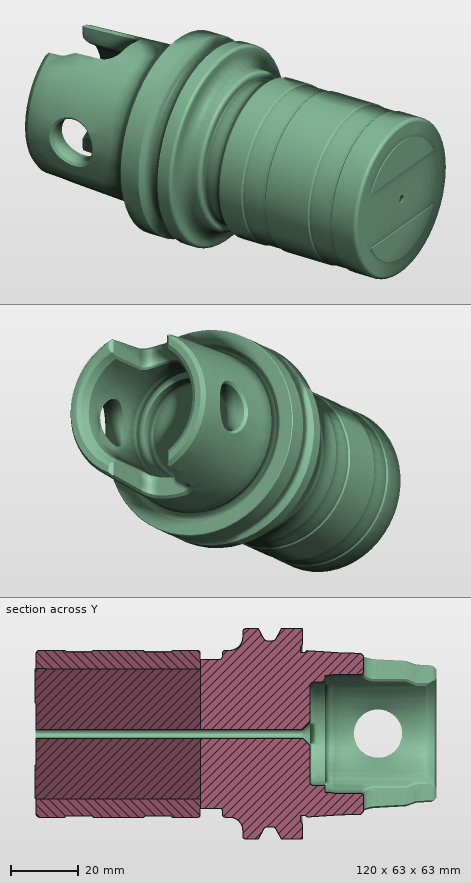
import cadquery as cq
import math


total_length = 119.95
flange_radius = 62.95 / 2
coolant_hole_radius = 1.25

taper_slope = 0.05
tip_face_radius = 22.1
tip_bevel_length = 1.6
taper_tip_radius = 23.05
taper_end = 38.8

relief_radius = 24.4
relief_start = 39.3
relief_bottom = 40.6
relief_inner_radius = 25.75
relief_outer_radius = 27.0

flange_start = 39.95
flange_end = 57.95
flange_edge_chamfer = 0.2
flange_end_fillet = 1.0
groove_center = 49.8
groove_half_width = 3.4
groove_floor_radius = 27.85
groove_side_angle = 62.0
groove_fillet = 1.2

shoulder_radius = 25.0
shoulder_blend = 3.8
shoulder_end = 64.05
shoulder_end_fillet = 1.1
neck_radius = 22.3
neck_fillet = 0.7

mouth_face_radius = 20.2
mouth_step_radius = 19.0
mouth_step_depth = 0.6
bore_radius = 17.7
mouth_depth = 3.1
seat_start = 30.5
seat_radius = 17.4
seat_slope_length = 1.4
bore_floor = 33.3
recess_radius = 15.4
recess_depth = 4.5
recess_fillet = 1.1
countersink_radius = 3.5

slot_half_width = 8.1
slot_end = 21.85
slot_corner_radius = 3.9
slot_relief_half_width = 10.1
slot_relief_length = 6.0
slot_relief_end = 8.9
slot_relief_fillet = 2.0
slot_mouth_chamfer = 1.1
slot_edge_chamfer = 0.8
slot_inner_chamfer = 0.5

cross_hole_x = 17.45
cross_hole_radius = 7.2
cross_hole_chamfer = 0.8

edge_tolerance = 0.05

sleeve_start = 70.55
sleeve_end = 119.6
sleeve_radius = 25.0
sleeve_start_fillet = 0.8
sleeve_end_fillet = 1.1
band_depth = 0.4
band_slope_length = 0.4
bands = [(78.85, 87.5), (102.5, 111.0)]

core_radius = 19.35
core_slot_width = 18.4


def taper_radius_at(x):
    """Radius of the taper at a station."""
    return taper_tip_radius + taper_slope * (x - tip_bevel_length)


def turn(profile):
    """Revolve a closed X-radius profile about the X axis."""
    return profile.close().revolve(360, (0, 0, 0), (1, 0, 0))


def rod(start, end, radius):
    """Solid cylinder along X."""
    return cq.Workplane("YZ").workplane(offset=start).circle(radius).extrude(end - start)


def fillet_arc(profile, center, radius, start_angle, end_angle):
    """Add an arc about a center, given by its two angles in degrees; the path joins its start."""
    def point(angle):
        turned = math.radians(angle)
        return (center[0] + radius * math.cos(turned), center[1] + radius * math.sin(turned))

    middle = (start_angle + end_angle) / 2
    return profile.lineTo(*point(start_angle)).threePointArc(point(middle), point(end_angle))


def shank_and_flange_blank():
    """Outer shape of the holder, solid to the axis."""
    groove_depth = flange_radius - groove_floor_radius
    side_run = groove_depth / math.tan(math.radians(groove_side_angle))
    fillet_center_offset = (
        groove_half_width - side_run - groove_fillet * math.tan(math.radians(groove_side_angle / 2))
    )
    groove_fillet_height = groove_floor_radius + groove_fillet

    p = (
        cq.Workplane("XY")
        .moveTo(0, 0)
        .lineTo(0, tip_face_radius)
        .lineTo(tip_bevel_length, taper_tip_radius)
        .lineTo(taper_end, taper_radius_at(taper_end))
        .lineTo(relief_start, relief_radius)
        .lineTo(relief_bottom, relief_radius)
        .lineTo(relief_bottom, relief_inner_radius)
        .lineTo(flange_start, relief_outer_radius)
        .lineTo(flange_start, flange_radius - flange_edge_chamfer)
        .lineTo(flange_start + flange_edge_chamfer, flange_radius)
        .lineTo(groove_center - groove_half_width, flange_radius)
    )
    p = fillet_arc(p, (groove_center - fillet_center_offset, groove_fillet_height), groove_fillet,
                   270 - groove_side_angle, 270)
    p = fillet_arc(p, (groove_center + fillet_center_offset, groove_fillet_height), groove_fillet,
                   270, 270 + groove_side_angle)
    p = p.lineTo(groove_center + groove_half_width, flange_radius)
    p = fillet_arc(p, (flange_end - flange_end_fillet, flange_radius - flange_end_fillet),
                   flange_end_fillet, 90, 0)
    p = fillet_arc(p, (flange_end + shoulder_blend, shoulder_radius + shoulder_blend),
                   shoulder_blend, 180, 270)
    p = fillet_arc(p, (shoulder_end - shoulder_end_fillet, shoulder_radius - shoulder_end_fillet),
                   shoulder_end_fillet, 90, 0)
    p = fillet_arc(p, (shoulder_end + neck_fillet, neck_radius + neck_fillet), neck_fillet, 180, 270)
    p = p.lineTo(sleeve_start, neck_radius).lineTo(sleeve_start, 0)
    return turn(p)


def shank_bore():
    """Bore with a narrower seat, a recessed floor and the countersunk coolant hole."""
    recess_bottom = bore_floor + recess_depth
    countersink_end = recess_bottom + countersink_radius - coolant_hole_radius
    p = (
        cq.Workplane("XY")
        .moveTo(0, 0)
        .lineTo(0, mouth_face_radius)
        .lineTo(mouth_step_depth, mouth_step_radius)
        .lineTo(mouth_depth, bore_radius)
        .lineTo(seat_start, bore_radius)
        .lineTo(seat_start + seat_slope_length, seat_radius)
        .lineTo(bore_floor, seat_radius)
        .lineTo(bore_floor, recess_radius)
    )
    p = fillet_arc(p, (recess_bottom - recess_fillet, recess_radius - recess_fillet), recess_fillet, 90, 0)
    return turn(
        p.lineTo(recess_bottom, countersink_radius)
        .lineTo(countersink_end, coolant_hole_radius)
        .lineTo(sleeve_start, coolant_hole_radius)
        .lineTo(sleeve_start, 0)
    )


def drive_slots():
    """Open-ended slot running through both shank walls along Z."""
    slot = (
        cq.Workplane("XY")
        .workplane(offset=-flange_radius)
        .moveTo(0, slot_half_width + slot_mouth_chamfer)
        .lineTo(slot_mouth_chamfer, slot_half_width)
        .lineTo(slot_end, slot_half_width)
        .lineTo(slot_end, -slot_half_width)
        .lineTo(slot_relief_end, -slot_half_width)
        .lineTo(slot_relief_length, -slot_relief_half_width)
        .lineTo(slot_mouth_chamfer, -slot_relief_half_width)
        .lineTo(0, -slot_relief_half_width - slot_mouth_chamfer)
        .close()
        .extrude(2 * flange_radius)
    )
    slot = slot.edges("|Z and >X").fillet(slot_corner_radius)
    relief_corner = cq.selectors.NearestToPointSelector((slot_relief_length, -slot_relief_half_width, 0))
    return slot.edges("|Z").edges(relief_corner).fillet(slot_relief_fillet)


def chamfer_slot_rims(body):
    """Break the slot rims where they meet the outside of the taper and the wall of the bore."""
    reach = slot_relief_half_width + slot_mouth_chamfer
    outer_rims = []
    inner_rims = []
    for edge in body.edges().vals():
        middle = edge.positionAt(0.5)
        radius = math.hypot(middle.y, middle.z)
        on_slot = abs(middle.y) < reach and middle.x < slot_end + slot_edge_chamfer
        on_taper = abs(radius - taper_radius_at(middle.x)) < edge_tolerance
        on_bore = abs(radius - bore_radius) < edge_tolerance
        if on_slot and on_taper and middle.x > tip_bevel_length:
            outer_rims.append(edge)
        if on_slot and on_bore and middle.x > mouth_depth + edge_tolerance:
            inner_rims.append(edge)
    body = body.newObject(outer_rims).chamfer(slot_edge_chamfer)
    return body.newObject(inner_rims).chamfer(slot_inner_chamfer)


def drill_cross_hole(body):
    """Hole through both shank walls along Y, its outer rims chamfered where they meet the taper."""
    drill = cq.Workplane("XZ").center(cross_hole_x, 0).circle(cross_hole_radius)
    body = body.cut(drill.extrude(flange_radius, both=True))
    rims = []
    for edge in body.edges().vals():
        middle = edge.positionAt(0.5)
        on_hole = abs(math.hypot(middle.x - cross_hole_x, middle.z) - cross_hole_radius) < edge_tolerance
        radius = math.hypot(middle.y, middle.z)
        if on_hole and abs(radius - taper_radius_at(middle.x)) < edge_tolerance:
            rims.append(edge)
    return body.newObject(rims).chamfer(cross_hole_chamfer)


def make_holder():
    """Taper shank, flange and neck in one piece."""
    body = shank_and_flange_blank().cut(shank_bore()).cut(drive_slots())
    return drill_cross_hole(chamfer_slot_rims(body))


def make_sleeve():
    """Tube around the core, with rounded ends and shallow bands."""
    p = cq.Workplane("XY").moveTo(sleeve_start, core_radius)
    p = fillet_arc(p, (sleeve_start + sleeve_start_fillet, sleeve_radius - sleeve_start_fillet),
                   sleeve_start_fillet, 180, 90)
    for band_start, band_end in bands:
        p = (
            p.lineTo(band_start, sleeve_radius)
            .lineTo(band_start + band_slope_length, sleeve_radius - band_depth)
            .lineTo(band_end - band_slope_length, sleeve_radius - band_depth)
            .lineTo(band_end, sleeve_radius)
        )
    p = fillet_arc(p, (sleeve_end - sleeve_end_fillet, sleeve_radius - sleeve_end_fillet),
                   sleeve_end_fillet, 90, 0)
    return turn(p.lineTo(sleeve_end, core_radius))


def make_core():
    """Core filling the sleeve; its end stands proud as two lugs either side of a shallow slot."""
    core = rod(sleeve_start, total_length, core_radius)
    slot = cq.Workplane("XY").box(
        2 * (total_length - sleeve_end), 2 * core_radius, core_slot_width
    ).translate((total_length, 0, 0))
    return core.cut(slot).cut(rod(sleeve_start, total_length, coolant_hole_radius))


holder = make_holder()
sleeve = make_sleeve()
core = make_core()

result = cq.Compound.makeCompound([holder.val(), sleeve.val(), core.val()])